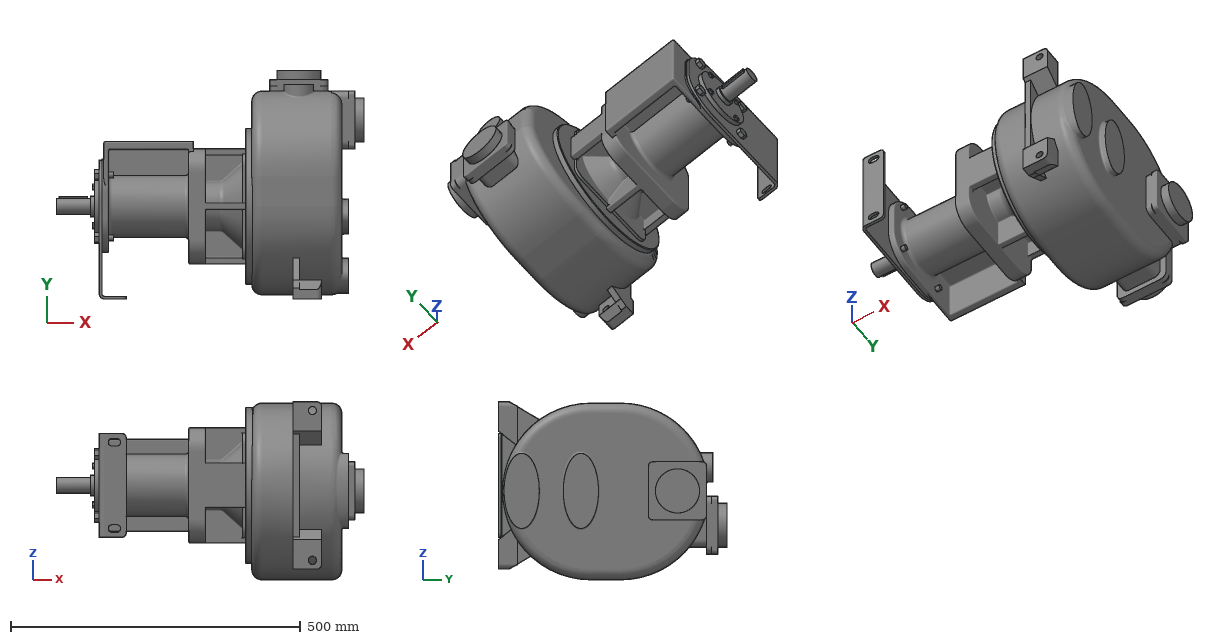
import cadquery as cq
import math


overlap = 1
slack = 0.1

shaft_radius = 14
collar_radius = 18
collar_start = 59
cover_start = 66
cover_radius = 55
key_start, key_end = 5, 54
key_width = 8
key_height = 3
small_bolt_offset = 33.6
small_bolt_flats = 10
small_bolt_height = 3.5
large_bolt_offset = 54.5
large_bolt_flats = 17
large_bolt_shank = 10
bolt_turn = 15
bolt_end = 99

bracket_start = 74
bracket_thickness = 5
bracket_width = 180
bracket_top = 80
bracket_corner = 65
base_y = -160.5
bracket_foot_length = 47
bend_radius = 10
foot_corner = 8
slot_x = bracket_start + 26.5
slot_spacing = 149
slot_length, slot_width = 21, 13

end_plate_start = bracket_start + bracket_thickness
end_plate_end = 90.5
end_plate_side = 162
end_plate_center_y = 1
end_plate_fillet = 3
end_plate_corner = 56
barrel_radius = 54
barrel_fillet = 6
frame_start = 82
frame_end = 237
frame_half_height = 80
frame_top = 112.5
frame_end_wall = 8.5
frame_back_wall = 14
frame_fillet = 3
frame_outer_fillet = 3.5
frame_web = 12

flange_start = 229
flange_end = 258
flange_side = 200
flange_corner = 40
flange_edge_fillet = 3
cone_start = 287
cone_end = 322
neck_radius = 43
cone_radius = 74
lip_side = 182
lip_corner = 20
disc_start = 327
disc_end = 339
disc_radius = 135
disc_chamfer = 1.5
rib_thickness = 11
side_panel_width = 77
side_panel_thickness = 11
rib_edge_fillet = 2
adapter_root_fillet = 2
neck_fillet = 10

casing_start = 338
casing_end = 494
casing_radius = 153
casing_center_y = 51
casing_center_z = -10.5
casing_flat_y = 199.5
casing_fillet = 18

port_side = 101
port_body_corner = 13
port_plate = 11
port_plate_corner = 8
port_edge_fillet = 1.5
pipe_radius = 38.2
pipe_length = 16
outlet_x = 419.5
outlet_z = -69
outlet_body_height = 9
outlet_top = casing_flat_y + outlet_body_height + port_plate + pipe_length
outlet_neck_side = 2 * pipe_radius
inlet_y = 149.5
inlet_z = -9.5
inlet_body_height = 11.5
plug_z = 31
plug_radius = 25.5
plug_top = 210.5

boss_centers_y = (-17.6, -120)
boss_width = 61
boss_length = 130
boss_start = casing_end - 23
boss_end = 505.5
boss_root_fillet = 3

foot_start = 409
web_end = 420.5
foot_end = 459
foot_half_span = 145
foot_inner_z = 94
foot_flat_y = -143.5
web_flat_y = -141.5
web_inner_y = -80
foot_block_y = -127
web_slope = math.tan(math.radians(31))
foot_top_slope = math.tan(math.radians(26))
foot_under_slope = math.tan(math.radians(38))
strut_y = -154
foot_hole_x = 443
foot_hole_z = 129.5
foot_hole_radius = 7
foot_edge_radius = 9


def disc_x(start, end, radius, y=0, z=0):
    """Cylinder along X."""
    return cq.Workplane("YZ", origin=(start, y, z)).circle(radius).extrude(end - start)


def disc_y(start, end, radius, x, z):
    """Cylinder along Y."""
    return cq.Workplane("XZ", origin=(x, start, z)).circle(radius).extrude(start - end)


def block(x_range, y_range, z_range):
    """Box between two limits on each axis."""
    size = [b - a for a, b in (x_range, y_range, z_range)]
    corner = (x_range[0], y_range[0], z_range[0])
    return cq.Workplane("XY").box(*size, centered=False).translate(corner)


def square_x(start, end, side, corner, y=0, z=0):
    """Square plate facing X with rounded corners."""
    plate = cq.Workplane("YZ", origin=(start, y, z)).rect(side, side).extrude(end - start)
    return plate.edges("|X").fillet(corner)


def square_y(start, end, side, corner, x, z):
    """Square plate facing Y with rounded corners."""
    plate = cq.Workplane("XZ", origin=(x, start, z)).rect(side, side).extrude(start - end)
    return plate.edges("|Y").fillet(corner)


def square_pattern(offset):
    """Four (y, z) places around the shaft."""
    return [(sy * offset, sz * offset) for sy in (-1, 1) for sz in (-1, 1)]


def bolt_heads(start, end, offset, flats):
    """Four hexagon heads around the shaft."""
    across_corners = flats / math.cos(math.radians(30))
    head = cq.Workplane("YZ", origin=(start, 0, 0)).polygon(6, across_corners).extrude(end - start)
    head = head.rotate((0, 0, 0), (1, 0, 0), bolt_turn)
    return [head.translate((0, y, z)) for y, z in square_pattern(offset)]


def make_shaft():
    shaft = disc_x(0, cover_start + overlap, shaft_radius)
    shaft = shaft.union(disc_x(collar_start, cover_start + overlap, collar_radius))
    key_half = key_width / 2
    key = block((key_start, key_end), (0, shaft_radius + key_height), (-key_half, key_half))
    shaft = shaft.union(key)
    shaft = shaft.union(disc_x(cover_start, bracket_start + overlap, cover_radius))
    small_start = cover_start - small_bolt_height
    for head in bolt_heads(small_start, cover_start + overlap, small_bolt_offset, small_bolt_flats):
        shaft = shaft.union(head)
    return shaft


def make_bracket():
    half = bracket_width / 2
    plate_end = bracket_start + bracket_thickness
    foot_tip = bracket_start + bracket_foot_length
    plate = block((bracket_start, plate_end), (base_y, bracket_top), (-half, half))
    plate = plate.edges("|X and >Y").fillet(bracket_corner)
    foot = block((bracket_start, foot_tip), (base_y, base_y + bracket_thickness), (-half, half))
    foot = foot.edges("|Y and >X").fillet(foot_corner)
    bracket = plate.union(foot)
    bracket = bracket.edges(cq.NearestToPointSelector((bracket_start, base_y, 0))).fillet(bend_radius)
    inner_corner = (plate_end, base_y + bracket_thickness, 0)
    bracket = bracket.edges(cq.NearestToPointSelector(inner_corner)).fillet(bend_radius - bracket_thickness)
    slots = (
        cq.Workplane("XZ", origin=(slot_x, base_y, 0))
        .pushPoints([(0, -slot_spacing / 2), (0, slot_spacing / 2)])
        .slot2D(slot_length, slot_width)
        .extrude(-bracket_thickness)
    )
    bracket = bracket.cut(slots)
    for head in bolt_heads(cover_start, bracket_start + overlap, large_bolt_offset, large_bolt_flats):
        bracket = bracket.union(head)
    return bracket


def barrel_flare(face_x, direction):
    """Concave fillet from a flat face at face_x to the barrel, which leaves along direction."""
    tangent_x = face_x + direction * barrel_fillet
    return (
        cq.Workplane("XY")
        .moveTo(face_x, 0)
        .lineTo(face_x, barrel_radius + barrel_fillet)
        .radiusArc((tangent_x, barrel_radius), -direction * barrel_fillet)
        .lineTo(tangent_x, 0)
        .close()
        .revolve(360, (0, 0, 0), (1, 0, 0))
    )


def make_housing():
    housing = square_x(
        end_plate_start, end_plate_end, end_plate_side, end_plate_corner, end_plate_center_y
    )
    housing = housing.faces(">X").edges().fillet(end_plate_fillet)
    barrel = disc_x(end_plate_start, flange_start + overlap, barrel_radius)
    housing = housing.union(barrel)
    housing = housing.union(barrel_flare(end_plate_end, 1)).union(barrel_flare(flange_start, -1))
    for y, z in square_pattern(large_bolt_offset):
        housing = housing.union(disc_x(end_plate_start, bolt_end, large_bolt_shank / 2, y, z))
    return housing


def make_frame():
    """Guard on the +Y side: a front wall and a back wall, tied to the barrel by a web."""
    half = frame_half_height
    inner_start = frame_start + frame_end_wall
    inner_end = flange_start
    back_y = frame_top - frame_back_wall
    frame = block((frame_start, frame_end), (0, frame_top), (-half, half))
    frame = frame.edges("(<X and (not <Y)) or (>Y and |X)").fillet(frame_outer_fillet)
    web_half = frame_web / 2
    for low, high in ((-half, -web_half), (web_half, half)):
        window = block((inner_start, inner_end), (0, back_y), (low, high))
        window = window.edges("|Z and >Y").fillet(frame_fillet)
        frame = frame.cut(window)
    inner_floor = cq.selectors.BoxSelector(
        (inner_start - overlap, overlap, -web_half - overlap),
        (inner_end + overlap, back_y + overlap, web_half + overlap),
    )
    frame = frame.edges("#Z").edges(inner_floor).fillet(frame_fillet)
    for level in (-half, half):
        rim = cq.selectors.BoxSelector(
            (inner_start - overlap, overlap, level - overlap),
            (inner_end - overlap, back_y + overlap, level + overlap),
        )
        frame = frame.edges("#Z").edges(rim).fillet(frame_fillet)
    return frame


def is_adapter_root(edge):
    """True for the inner corners where the adapter's ribs, bell, flange and lip meet."""
    center = edge.Center()
    box = edge.BoundingBox()
    reach = max(-box.ymin, box.ymax, -box.zmin, box.zmax)
    rib_half = rib_thickness / 2
    panel_inner = flange_side / 2 - side_panel_thickness
    on_rib = (abs(abs(center.y) - rib_half) < slack and box.ylen < slack) or (
        abs(abs(center.z) - rib_half) < slack and box.zlen < slack
    )
    on_panel = abs(abs(center.y) - panel_inner) < slack and box.ylen < slack
    in_end_plane = box.xlen < slack and min(abs(center.x - flange_end), abs(center.x - cone_end)) < slack
    if in_end_plane:
        return on_rib or on_panel or (edge.geomType() == "CIRCLE" and reach < cone_radius + overlap)
    between_ends = box.xmin > flange_end - slack and box.xmax < cone_end + slack
    on_rib_top = abs(abs(center.z) - flange_side / 2) < slack
    return between_ends and on_rib and not on_rib_top


def is_adapter_rim(edge):
    """True for the outer edges of the ribs, the side panels and the flange's rear face."""
    center = edge.Center()
    box = edge.BoundingBox()
    half_side = flange_side / 2
    reach = max(-box.ymin, box.ymax, -box.zmin, box.zmax)
    if box.xlen < slack:
        return abs(center.x - flange_end) < slack and reach > half_side - slack
    on_rib_top = abs(abs(center.z) - half_side) < slack
    on_rib_side = abs(abs(center.y) - rib_thickness / 2) < slack
    on_panel_face = abs(abs(center.y) - half_side) < slack
    on_panel_end = abs(abs(center.z) - side_panel_width / 2) < slack
    return (on_rib_top and on_rib_side) or (on_panel_face and on_panel_end)


def make_adapter():
    flange = square_x(flange_start, flange_end, flange_side, flange_corner)
    adapter = flange.faces("<X").edges().fillet(flange_edge_fillet)
    bell = (
        cq.Workplane("XY")
        .moveTo(flange_start + flange_edge_fillet, 0)
        .lineTo(flange_start + flange_edge_fillet, neck_radius)
        .lineTo(cone_start, neck_radius)
        .lineTo(cone_end, cone_radius)
        .lineTo(disc_start, cone_radius)
        .lineTo(disc_start, 0)
        .close()
        .revolve(360, (0, 0, 0), (1, 0, 0))
    )
    kink = cq.selectors.BoxSelector(
        (cone_start - overlap, -cone_radius, -cone_radius),
        (cone_start + overlap, cone_radius, cone_radius),
    )
    adapter = adapter.union(bell.edges(kink).fillet(neck_fillet))
    adapter = adapter.union(square_x(cone_end, disc_start, lip_side, lip_corner))

    outer = flange_side / 2
    panel_inner = outer - side_panel_thickness
    web_reach = panel_inner + overlap
    rib_x = (flange_end - overlap, disc_start)
    rib_y = (-rib_thickness / 2, rib_thickness / 2)
    panel_z = (-side_panel_width / 2, side_panel_width / 2)
    adapter = adapter.union(block(rib_x, rib_y, (-outer, outer)))
    adapter = adapter.union(block(rib_x, (-web_reach, web_reach), rib_y))
    adapter = adapter.union(block(rib_x, (-outer, -panel_inner), panel_z))
    adapter = adapter.union(block(rib_x, (panel_inner, outer), panel_z))

    body = adapter.solids().val()
    body = body.fillet(adapter_root_fillet, [e for e in body.Edges() if is_adapter_root(e)])
    body = body.fillet(rib_edge_fillet, [e for e in body.Edges() if is_adapter_rim(e)])
    mounting_disc = disc_x(disc_start, disc_end, disc_radius).faces("<X").edges().chamfer(disc_chamfer)
    return cq.Workplane(body).union(mounting_disc)


def make_casing():
    top = casing_center_z + casing_radius
    bottom = casing_center_z - casing_radius
    flat_half = math.sqrt(casing_radius**2 - (casing_flat_y - casing_center_y) ** 2)
    arc_half_angle = (math.pi / 2 + math.asin(flat_half / casing_radius)) / 2
    arc_y = casing_center_y + casing_radius * math.cos(arc_half_angle)
    arc_rise = casing_radius * math.sin(arc_half_angle)
    casing = (
        cq.Workplane("YZ", origin=(casing_start, 0, 0))
        .moveTo(0, bottom)
        .lineTo(casing_center_y, bottom)
        .threePointArc((arc_y, casing_center_z - arc_rise), (casing_flat_y, casing_center_z - flat_half))
        .lineTo(casing_flat_y, casing_center_z + flat_half)
        .threePointArc((arc_y, casing_center_z + arc_rise), (casing_center_y, top))
        .lineTo(0, top)
        .threePointArc((-casing_radius, casing_center_z), (0, bottom))
        .close()
        .extrude(casing_end - casing_start)
    )
    return casing.faces("<X or >X").edges().fillet(casing_fillet)


def make_outlet():
    body_top = casing_flat_y + outlet_body_height
    plate_top = body_top + port_plate
    place = (outlet_x, outlet_z)
    outlet = square_y(casing_center_y, body_top, outlet_neck_side, port_body_corner, *place)
    outlet = outlet.union(square_y(casing_flat_y, body_top, port_side, port_body_corner, *place))
    plate = square_y(body_top, plate_top, port_side, port_plate_corner, *place)
    outlet = outlet.union(plate.faces(">Y").edges().fillet(port_edge_fillet))
    return outlet.union(disc_y(body_top, outlet_top, pipe_radius, *place))


def make_inlet():
    body_end = casing_end + inlet_body_height
    plate_end = body_end + port_plate
    place = (inlet_y, inlet_z)
    inlet = square_x(casing_end - casing_fillet, body_end, port_side, port_body_corner, *place)
    plate = square_x(body_end, plate_end, port_side, port_plate_corner, *place)
    inlet = inlet.union(plate.faces(">X").edges().fillet(port_edge_fillet))
    return inlet.union(disc_x(body_end, plate_end + pipe_length, pipe_radius, *place))


def add_bosses(casing):
    """Plug boss on the flat +Y side and the rear bosses, each flared into the casing."""
    casing = casing.union(disc_y(casing_center_y, plug_top, plug_radius, outlet_x, plug_z))
    plug_reach = plug_radius + overlap
    plug_zone = cq.selectors.BoxSelector(
        (outlet_x - plug_reach, casing_center_y, plug_z - plug_reach),
        (outlet_x + plug_reach, plug_top - overlap, plug_z + plug_reach),
        boundingbox=True,
    )
    casing = casing.edges(plug_zone).fillet(boss_root_fillet)
    for y in boss_centers_y:
        boss = (
            cq.Workplane("YZ", origin=(boss_start, y, inlet_z))
            .ellipse(boss_width / 2, boss_length / 2)
            .extrude(boss_end - boss_start)
        )
        reach_y = boss_width / 2 + overlap
        reach_z = boss_length / 2 + overlap
        boss_zone = cq.selectors.BoxSelector(
            (boss_start + overlap, y - reach_y, inlet_z - reach_z),
            (boss_end - overlap, y + reach_y, inlet_z + reach_z),
            boundingbox=True,
        )
        casing = casing.union(boss).edges(boss_zone).fillet(boss_root_fillet)
    return casing


def make_foot(side):
    """One casing foot, on the +Z side for side = 1 and on the -Z side for side = -1."""
    web_outer_z = foot_half_span - (web_inner_y - web_flat_y) * web_slope
    web = [
        (base_y, foot_inner_z),
        (base_y, foot_half_span),
        (web_flat_y, foot_half_span),
        (web_inner_y, web_outer_z),
        (web_inner_y, 0),
        (strut_y, 0),
        (strut_y, foot_inner_z),
    ]
    block_outline = [
        (base_y, foot_inner_z),
        (base_y, foot_half_span),
        (foot_flat_y, foot_half_span),
        (foot_block_y, foot_half_span - (foot_block_y - foot_flat_y) * foot_top_slope),
        (foot_block_y, foot_inner_z - (foot_block_y - base_y) * foot_under_slope),
    ]

    def plate(points, end):
        outline = [(y, side * z) for y, z in points]
        profile = cq.Workplane("YZ", origin=(foot_start, 0, 0)).polyline(outline).close()
        return profile.extrude(end - foot_start)

    foot_block = plate(block_outline, foot_end)
    rounding = cq.NearestToPointSelector((foot_end, (base_y + foot_flat_y) / 2, side * foot_half_span))
    foot_block = foot_block.edges("|Y").edges(rounding).fillet(foot_edge_radius)
    foot = plate(web, web_end).union(foot_block)
    return foot.cut(disc_y(base_y, web_inner_y, foot_hole_radius, foot_hole_x, side * foot_hole_z))


result = make_shaft()
for piece in (
    make_bracket(),
    make_housing(),
    make_frame(),
    make_adapter(),
    add_bosses(make_casing()),
    make_outlet(),
    make_inlet(),
    make_foot(1),
    make_foot(-1),
):
    result = result.union(piece)